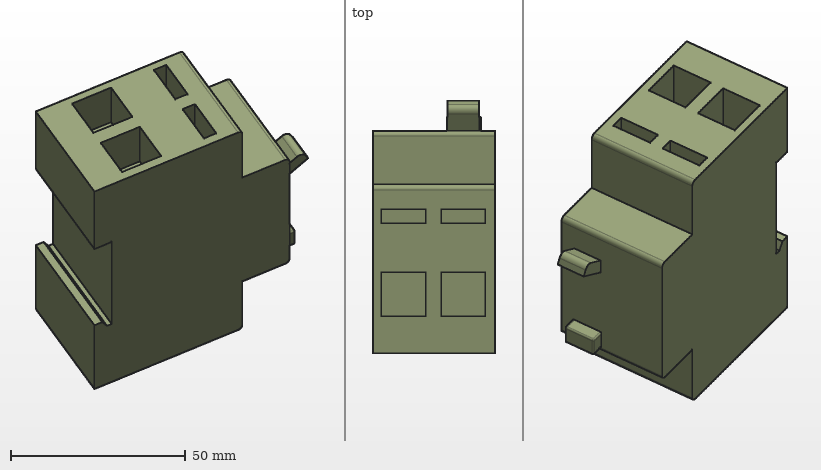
import cadquery as cq
import math

width = 35.0
height = 85.5
shoulder_depth = 48.4
nose_depth = 63.8
nose_bottom = 20.3
nose_top = height - nose_bottom
corner_radius = 1.45

notch_depth = 5.65
notch_top = 60.6
notch_bottom = 25.1
hook_top = 27.6
hook_thickness = 2.6
hook_root_depth = 4.1

pole_spacing = 17.1
pole_offset = -0.2
pocket_width = 12.7
square_center = 16.9
slot_center = 39.3
slot_length = 4.0
pocket_depth = 15.0

control_root = 4.3

lever_x = pole_offset + pole_spacing / 2
lever_width = 9.1
lever_thickness = 4.0
lever_angle = math.radians(30)
lever_tip_depth = 72.4
lever_root_z = 51.05
lever_tip_radius = 2.0

button_x = 8.55
button_width = 9.9
button_height = 6.0
button_center_z = 24.9
button_front = 67.8
button_radius = 0.505


def make_body():
    """Stepped housing with the rail notch, rounded at its outer front corners."""
    outline = [
        (0, 0),
        (shoulder_depth, 0),
        (shoulder_depth, nose_bottom),
        (nose_depth, nose_bottom),
        (nose_depth, nose_top),
        (shoulder_depth, nose_top),
        (shoulder_depth, height),
        (0, height),
        (0, notch_top),
        (notch_depth, notch_top),
        (notch_depth, notch_bottom),
        (hook_root_depth, notch_bottom),
        (hook_thickness, hook_top),
        (0, hook_top),
    ]
    body = cq.Workplane("YZ").polyline(outline).close().extrude(width / 2, both=True)
    rounded_corners = [
        (shoulder_depth, 0),
        (nose_depth, nose_bottom),
        (nose_depth, nose_top),
        (shoulder_depth, height),
    ]
    for y, z in rounded_corners:
        corner_edge = cq.selectors.NearestToPointSelector((0, y, z))
        body = body.edges("|X").edges(corner_edge).fillet(corner_radius)
    return body


def make_pockets(center_y, length):
    """One rectangular pocket per pole, sunk from the top face."""
    return (
        cq.Workplane("XY", origin=(pole_offset, center_y, height))
        .rarray(pole_spacing, 0.85, 2, 1)
        .rect(pocket_width, length)
        .extrude(-pocket_depth)
    )


def make_lever():
    """Bar sloping up and outward, with its upper tip corner rounded."""
    exposed_length = (lever_tip_depth - nose_depth) / math.cos(lever_angle)
    bar_length = exposed_length + control_root
    tip_z = lever_root_z + exposed_length * math.sin(lever_angle)
    bar = (
        cq.Workplane("XY")
        .box(lever_width, bar_length, lever_thickness, centered=(True, False, False))
        .edges(">Y and >Z")
        .fillet(lever_tip_radius)
        .translate((0, -bar_length, 0))
    )
    return (
        bar.rotate((0, 0, 0), (1, 0, 0), math.degrees(lever_angle))
        .translate((lever_x, lever_tip_depth, tip_z))
    )


def make_button():
    """Block with its front and side edges rounded, rooted in the nose."""
    length = button_front - nose_depth + control_root
    return (
        cq.Workplane("XY")
        .box(button_width, length, button_height)
        .edges("|Y or >Y")
        .fillet(button_radius)
        .translate((button_x, button_front - length / 2, button_center_z))
    )


square_pockets = make_pockets(square_center, pocket_width)
slot_pockets = make_pockets(slot_center, slot_length)

result = (
    make_body()
    .cut(square_pockets)
    .cut(slot_pockets)
    .union(make_lever())
    .union(make_button())
)